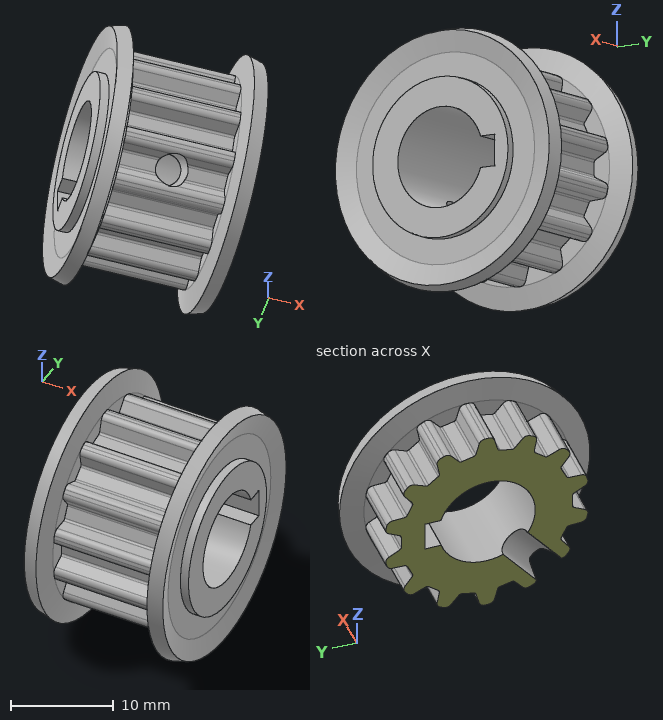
import cadquery as cq
import math


tooth_count = 14
wheel_width = 11.02
tip_radius = 10.7
groove_floor_radius = 8.9
groove_floor_width = 1.6
flank_angle = 28.0
tip_rounding = 0.65
root_rounding = 0.29

flange_radius = 13.0
flange_thickness = 1.59
flange_bend_radius = 10.69
dish_angle = 15.0

hub_length = 16.0
hub_radius = 7.95
bore_radius = 5.0
keyway_width = 3.12
keyway_reach = 6.4

screw_hole_radius = 1.6

tooth_pitch_angle = 360.0 / tooth_count
screw_groove_index = 5
first_groove_angle = tooth_pitch_angle / 2 + 90.0


def groove_angle(index):
    """Angle of a groove about +X, measured from +Y; a tooth points along +Z."""
    return first_groove_angle + index * tooth_pitch_angle


def x_cylinder(radius, length):
    return cq.Workplane("YZ").circle(radius).extrude(length / 2, both=True)


def groove_cutter(angle):
    """Trapezoidal prism for one groove, widening past the tooth tips."""
    outer_radius = tip_radius + tip_rounding
    half_floor = groove_floor_width / 2
    flank_spread = (outer_radius - groove_floor_radius) * math.tan(math.radians(flank_angle))
    half_mouth = half_floor + flank_spread
    return (
        cq.Workplane("YZ")
        .polyline([
            (groove_floor_radius, -half_floor),
            (outer_radius, -half_mouth),
            (outer_radius, half_mouth),
            (groove_floor_radius, half_floor),
        ])
        .close()
        .extrude(wheel_width / 2, both=True)
        .rotate((0, 0, 0), (1, 0, 0), angle)
    )


def toothed_wheel():
    wheel = x_cylinder(tip_radius, wheel_width)
    for index in range(tooth_count):
        wheel = wheel.cut(groove_cutter(groove_angle(index)))

    middle_radius = (tip_radius + groove_floor_radius) / 2
    inner_zone = x_cylinder(middle_radius, wheel_width).val()

    def is_root(edge):
        return inner_zone.isInside(edge.Center())

    long_edges = wheel.edges("|X").vals()
    root_edges = [edge for edge in long_edges if is_root(edge)]
    tip_edges = [edge for edge in long_edges if not is_root(edge)]
    rounded = wheel.val().fillet(root_rounding, root_edges).fillet(tip_rounding, tip_edges)
    return cq.Workplane(rounded)


def flange():
    """Flange on the +X side, revolved about the X axis."""
    lean = math.radians(dish_angle)
    inner_x = wheel_width / 2
    outer_x = inner_x + flange_thickness
    inner_rim_x = inner_x + (flange_radius - flange_bend_radius) * math.tan(lean)
    outer_rim_x = inner_rim_x + flange_thickness * math.cos(lean)
    outer_rim_radius = flange_radius - flange_thickness * math.sin(lean)
    outer_bend_radius = flange_bend_radius - flange_thickness * math.tan(lean / 2)
    return (
        cq.Workplane("XY")
        .polyline([
            (inner_x, 0),
            (inner_x, flange_bend_radius),
            (inner_rim_x, flange_radius),
            (outer_rim_x, outer_rim_radius),
            (outer_x, outer_bend_radius),
            (outer_x, 0),
        ])
        .close()
        .revolve(360, (0, 0, 0), (1, 0, 0))
    )


def keyed_bore():
    keyway = cq.Workplane("XY").box(
        hub_length, keyway_reach, keyway_width, centered=(True, False, True)
    )
    return x_cylinder(bore_radius, hub_length).union(keyway)


def screw_hole(angle):
    """Radial hole from the axis outward, at an angle about +X from +Y."""
    return (
        cq.Workplane("XZ")
        .circle(screw_hole_radius)
        .extrude(-flange_radius)
        .rotate((0, 0, 0), (1, 0, 0), angle)
    )


right_flange = flange()
left_flange = right_flange.mirror("YZ")
hub = x_cylinder(hub_radius, hub_length)

result = (
    toothed_wheel()
    .union(right_flange)
    .union(left_flange)
    .union(hub)
    .cut(keyed_bore())
    .cut(screw_hole(groove_angle(screw_groove_index)))
)